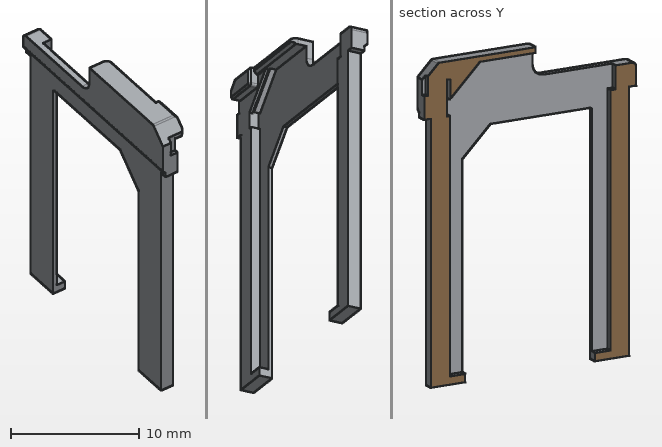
import cadquery as cq

width = 18.9
height = 26.5
depth = 2.2

leg_front = 0.26
plate_back = 0.6
rim_back = 1.4
roof_back = 1.78

bar_top = 23.95
shoulder_z = 22.0
bevel_top = 22.63
head_left = 8.95
head_chamfer = 1.3
head_chamfer_blend = 0.25
neck_radius = 1.0
end_radius = 0.4
end_block_width = 1.85
roof_thickness = 0.5
roof_corner_radius = 0.45
roof_underside_chamfer = 0.26
side_step = 0.32
side_step_front = 0.77

boss_left = 15.42
boss_bottom = 24.95
boss_chamfer = 0.15
boss_corner_radius = 0.25

gusset_step_y = 1.15
gusset_step = 0.26
gusset_drop = 0.64

leg_inset = 0.6
leg_width = 3.07
leg_wall = 1.7
foot_height = 0.72
opening_top = 20.62
opening_chamfer = 2.5
opening_radius = 0.15

leg_outer_right = width - leg_inset
leg_inner_left = leg_inset + leg_width
leg_inner_right = width - leg_inner_left
right_wall_inner = leg_outer_right - leg_wall
gusset_bottom = bar_top - gusset_drop
roof_bottom = height - roof_thickness


def box(x0, x1, y0, y1, z0, z1):
    """Box given by its limits along each axis."""
    return cq.Workplane("XY").box(x1 - x0, y1 - y0, z1 - z0, centered=False).translate((x0, y0, z0))


def front_sketch(y):
    """Plane parallel to the front face; positive extrusion runs toward the front."""
    return cq.Workplane("XZ", origin=(0, y, 0))


def head_profile(back, front):
    """Crossbar and head outline, extruded between two depths."""
    body = (
        front_sketch(back)
        .moveTo(0, shoulder_z)
        .lineTo(width, shoulder_z)
        .lineTo(width, height - head_chamfer)
        .lineTo(width - head_chamfer, height)
        .lineTo(head_left, height)
        .lineTo(head_left, bar_top + neck_radius)
        .radiusArc((head_left - neck_radius, bar_top), neck_radius)
        .lineTo(0, bar_top)
        .close()
        .extrude(back - front)
    )
    body = body.edges(cq.selectors.NearestToPointSelector((0, (back + front) / 2, bar_top))).fillet(end_radius)
    blend_point = (width - head_chamfer, (back + front) / 2, height)
    return body.edges(cq.selectors.NearestToPointSelector(blend_point)).fillet(head_chamfer_blend)


def leg_plate():
    """Thin frame plate with the chamfered opening between the legs."""
    plate = box(leg_inset, leg_outer_right, leg_front, plate_back, 0, bar_top)
    opening = (
        front_sketch(plate_back)
        .moveTo(leg_inner_left, 0)
        .lineTo(leg_inner_right, 0)
        .lineTo(leg_inner_right, opening_top - opening_chamfer)
        .lineTo(leg_inner_right - opening_chamfer, opening_top)
        .lineTo(leg_inner_left, opening_top)
        .close()
        .extrude(plate_back - leg_front)
    )
    corner = (leg_inner_left, (leg_front + plate_back) / 2, opening_top)
    opening = opening.edges(cq.selectors.NearestToPointSelector(corner)).fillet(opening_radius)
    return plate.cut(opening)


def front_bevel():
    """Material removed below the bevel that steps the crossbar back to the legs."""
    return (
        cq.Workplane("YZ")
        .polyline([(0, shoulder_z), (leg_front, shoulder_z), (leg_front, bevel_top - leg_front), (0, bevel_top)])
        .close()
        .extrude(width)
    )


def gusset(front, back, shift):
    """Band of the rear brace, shifted along X, whose 45 degree underside runs from the roof to the right wall."""
    run = roof_bottom - gusset_bottom
    return (
        front_sketch(back)
        .polyline([
            (right_wall_inner + shift, gusset_bottom),
            (right_wall_inner + shift, height),
            (right_wall_inner + shift - run, height),
            (right_wall_inner + shift - run, roof_bottom),
        ])
        .close()
        .extrude(back - front)
    )


def head_roof():
    """Overhanging roof of the head, rounded at its left rear corner and chamfered below its rear edge."""
    roof = box(head_left, width, 0, roof_back, roof_bottom, height)
    roof = roof.edges("|X and >Y and <Z").chamfer(roof_underside_chamfer)
    rounded_outline = box(head_left, width, 0, roof_back, roof_bottom, height)
    return roof.intersect(rounded_outline.edges("|Z and <X and >Y").fillet(roof_corner_radius))


def boss():
    """Boss on the rear of the head with a chamfered back rim."""
    block = box(boss_left, width - side_step, plate_back, depth, boss_bottom, height)
    block = block.edges("|Y and <Z").fillet(boss_corner_radius)
    outline = head_profile(depth, 0)
    return block.faces(">Y").chamfer(boss_chamfer).intersect(outline)


result = head_profile(plate_back, 0).cut(front_bevel()).union(leg_plate())

rear_blocks = [
    box(0, end_block_width, plate_back, rim_back, shoulder_z, bar_top),
    box(right_wall_inner + gusset_step, width, plate_back, rim_back, shoulder_z, height),
    box(leg_inset, leg_inset + leg_wall, plate_back, rim_back, 0, shoulder_z),
    box(right_wall_inner, leg_outer_right, plate_back, rim_back, 0, shoulder_z),
    box(leg_inset, leg_inner_left, plate_back, rim_back, 0, foot_height),
    box(leg_inner_right, leg_outer_right, plate_back, rim_back, 0, foot_height),
    gusset(plate_back, gusset_step_y, 0),
    gusset(gusset_step_y, rim_back, gusset_step),
    head_roof(),
]
for block in rear_blocks:
    result = result.union(block)
result = result.union(boss())

leg_zone = box(leg_inset, leg_outer_right, 0, depth, 0, shoulder_z)
result = result.intersect(head_profile(depth, 0).union(leg_zone))

result = result.cut(box(width - side_step, width, side_step_front, depth, bar_top, height))